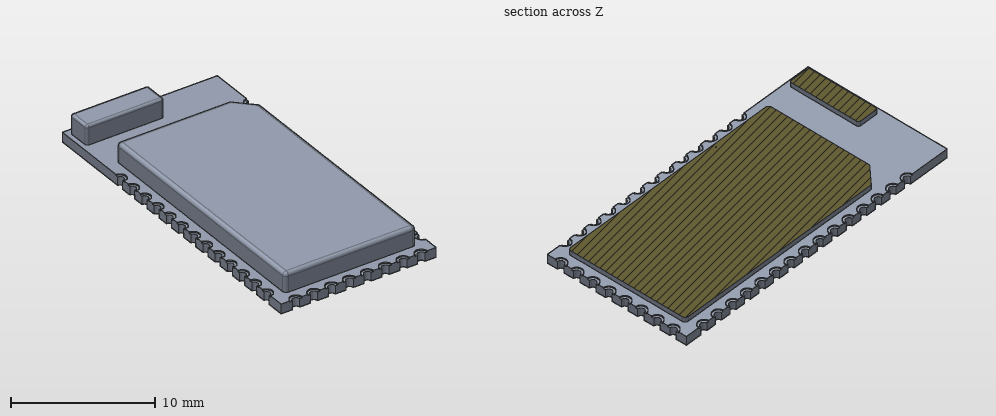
import cadquery as cq

board_length = 26.9
board_width = 13.0
board_thickness = 0.8
overall_height = 2.4
component_height = overall_height - board_thickness

contact_pitch = 1.5
contact_radius = 0.3
pad_radius = 0.5
pad_depth = 0.1
back_contact_count = 15
front_contact_count = 13
end_contact_count = 8
last_contact_margin = 1.8
last_contact_x = board_length - last_contact_margin
first_end_contact_y = (board_width - (end_contact_count - 1) * contact_pitch) / 2

can_length = 20.7
can_margin = 1.0
can_width = board_width - 2 * can_margin
can_x = board_length - can_margin - can_length
can_corner_bevel = 1.5
can_edge_radius = 0.3

antenna_length = 2.0
antenna_width = 6.5
antenna_margin = 0.4
antenna_edge_radius = 0.2


def contact_centres():
    """Centres of all contacts, each lying on a board edge."""
    back = [(last_contact_x - i * contact_pitch, board_width) for i in range(back_contact_count)]
    front = [(last_contact_x - i * contact_pitch, 0) for i in range(front_contact_count)]
    end = [(board_length, first_end_contact_y + i * contact_pitch) for i in range(end_contact_count)]
    return back + front + end


def make_board():
    """Flat board with through notches, each ringed by a shallow recess in the top face."""
    centres = contact_centres()
    board = cq.Workplane("XY").box(board_length, board_width, board_thickness, centered=False)
    notches = cq.Workplane("XY").pushPoints(centres).circle(contact_radius).extrude(board_thickness)
    recesses = (
        cq.Workplane("XY", origin=(0, 0, board_thickness))
        .pushPoints(centres)
        .circle(pad_radius)
        .extrude(-pad_depth)
    )
    return board.cut(notches).cut(recesses)


def make_component(x, y, length, width, edge_radius, corner_bevel=0):
    """Block on the board with rounded upright and top edges and an optional bevelled back left corner."""
    block = (
        cq.Workplane("XY")
        .box(length, width, component_height, centered=False)
        .translate((x, y, board_thickness))
    )
    if corner_bevel > 0:
        block = block.edges("|Z and <X and >Y").chamfer(corner_bevel)
    return block.edges("|Z or >Z").fillet(edge_radius)


can = make_component(can_x, can_margin, can_length, can_width, can_edge_radius, can_corner_bevel)
antenna = make_component(antenna_margin, antenna_margin, antenna_length, antenna_width, antenna_edge_radius)

result = make_board().union(can).union(antenna)